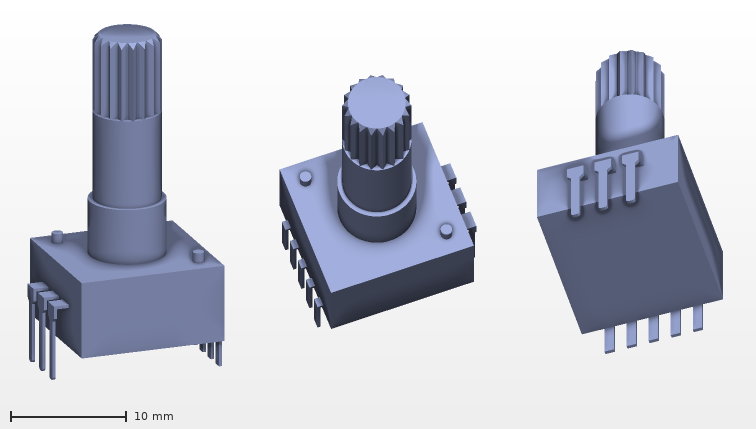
import cadquery as cq
import math

BODY_X = 12.8
BODY_Y = 13.2
BODY_Z = 6.9

BUSHING_DIAMETER = 6.85
BUSHING_HEIGHT = 5.0
SHAFT_DIAMETER = 6.0
SHAFT_HEIGHT = 20.0

TOOTH_COUNT = 18
TOOTH_ROOT_RADIUS = 2.5
TOOTH_BASE_WIDTH = 0.8
KNURL_LENGTH = 7.0
KNURL_BEVEL_HEIGHT = 0.5

PIP_DIAMETER = 1.0
PIP_HEIGHT = 0.9
PIP_CENTRES = [(4.53, 4.9), (-4.53, -4.75)]

PIN_THICKNESS = 0.28
PIN_DROP = 3.0

TERMINAL_PITCH = 2.5
TERMINAL_COUNT = 3
TERMINAL_REACH = 1.39
TERMINAL_TOP = 3.9
HEAD_WIDTH = 1.5
STEM_WIDTH = 0.8
HEAD_BOTTOM = 2.75
STEM_TIP_RADIUS = 0.3

SUPPORT_PITCH = 2.0
SUPPORT_COUNT = 5
SUPPORT_REACH = 0.52
SUPPORT_TOP = 0.9
SUPPORT_WIDTH = 0.85


def cylinder(diameter, height, base_z, centre=(0, 0)):
    return cq.Workplane("XY", origin=(*centre, base_z)).circle(diameter / 2).extrude(height)


def polar_point(radius, angle):
    return (radius * math.cos(angle), radius * math.sin(angle))


def row_positions(count, pitch):
    """X positions of an evenly spaced row centred on X = 0."""
    return [(i - (count - 1) / 2) * pitch for i in range(count)]


def make_body():
    return cq.Workplane("XY").box(BODY_X, BODY_Y, BODY_Z, centered=(True, True, False))


def make_knurl():
    """Ridged prism whose tooth tips are bevelled down to the root circle at the top."""
    tip_radius = SHAFT_DIAMETER / 2
    base_z = BODY_Z + SHAFT_HEIGHT - KNURL_LENGTH
    pitch_angle = 2 * math.pi / TOOTH_COUNT
    half_tooth_angle = math.asin(TOOTH_BASE_WIDTH / 2 / TOOTH_ROOT_RADIUS)

    first_tip = math.pi / 2
    outline = cq.Workplane("XY", origin=(0, 0, base_z)).moveTo(*polar_point(tip_radius, first_tip))
    for i in range(TOOTH_COUNT):
        tip = first_tip + i * pitch_angle
        next_tip = tip + pitch_angle
        groove_middle = polar_point(TOOTH_ROOT_RADIUS, tip + pitch_angle / 2)
        groove_end = polar_point(TOOTH_ROOT_RADIUS, next_tip - half_tooth_angle)
        outline = outline.lineTo(*polar_point(TOOTH_ROOT_RADIUS, tip + half_tooth_angle))
        outline = outline.threePointArc(groove_middle, groove_end)
        if i < TOOTH_COUNT - 1:
            outline = outline.lineTo(*polar_point(tip_radius, next_tip))
    ridges = outline.close().extrude(KNURL_LENGTH)

    bevel_base = KNURL_LENGTH - KNURL_BEVEL_HEIGHT
    envelope = (
        cq.Workplane("XZ", origin=(0, 0, base_z))
        .polyline([
            (0, 0),
            (tip_radius, 0),
            (tip_radius, bevel_base),
            (TOOTH_ROOT_RADIUS, KNURL_LENGTH),
            (0, KNURL_LENGTH),
        ])
        .close()
        .revolve(360, (0, 0, 0), (0, 1, 0))
    )
    return ridges.intersect(envelope)


def make_bent_strip(width, reach, top_z):
    """L-shaped strip leaving the -Y face at top_z and bent down, centred on X = 0."""
    face_y = -BODY_Y / 2
    outer_y = face_y - reach
    return (
        cq.Workplane("YZ", origin=(-width / 2, 0, 0))
        .polyline([
            (face_y, top_z),
            (outer_y, top_z),
            (outer_y, -PIN_DROP),
            (outer_y + PIN_THICKNESS, -PIN_DROP),
            (outer_y + PIN_THICKNESS, top_z - PIN_THICKNESS),
            (face_y, top_z - PIN_THICKNESS),
        ])
        .close()
        .extrude(width)
    )


def make_terminal():
    """Bent strip trimmed to a wide head, 45-degree shoulders and a stem with a rounded tip."""
    head = HEAD_WIDTH / 2
    stem = STEM_WIDTH / 2
    stem_top = HEAD_BOTTOM - (head - stem)
    right_side = [
        (head, TERMINAL_TOP),
        (head, HEAD_BOTTOM),
        (stem, stem_top),
        (stem, -PIN_DROP),
    ]
    left_side = [(-x, z) for x, z in reversed(right_side)]
    silhouette = (
        cq.Workplane("XZ", origin=(0, -BODY_Y / 2, 0))
        .polyline(right_side + left_side)
        .close()
        .extrude(TERMINAL_REACH)
        .faces("<Z")
        .edges("|Y")
        .fillet(STEM_TIP_RADIUS)
    )
    return make_bent_strip(HEAD_WIDTH, TERMINAL_REACH, TERMINAL_TOP).intersect(silhouette)


def make_support_pin():
    strip = make_bent_strip(SUPPORT_WIDTH, SUPPORT_REACH, SUPPORT_TOP)
    return strip.mirror("XZ")


result = make_body()
result = result.union(cylinder(BUSHING_DIAMETER, BUSHING_HEIGHT, BODY_Z))
result = result.union(cylinder(SHAFT_DIAMETER, SHAFT_HEIGHT - KNURL_LENGTH, BODY_Z))
result = result.union(make_knurl())

for pip_centre in PIP_CENTRES:
    result = result.union(cylinder(PIP_DIAMETER, PIP_HEIGHT, BODY_Z, pip_centre))

terminal = make_terminal()
for x in row_positions(TERMINAL_COUNT, TERMINAL_PITCH):
    result = result.union(terminal.translate((x, 0, 0)))

support_pin = make_support_pin()
for x in row_positions(SUPPORT_COUNT, SUPPORT_PITCH):
    result = result.union(support_pin.translate((x, 0, 0)))